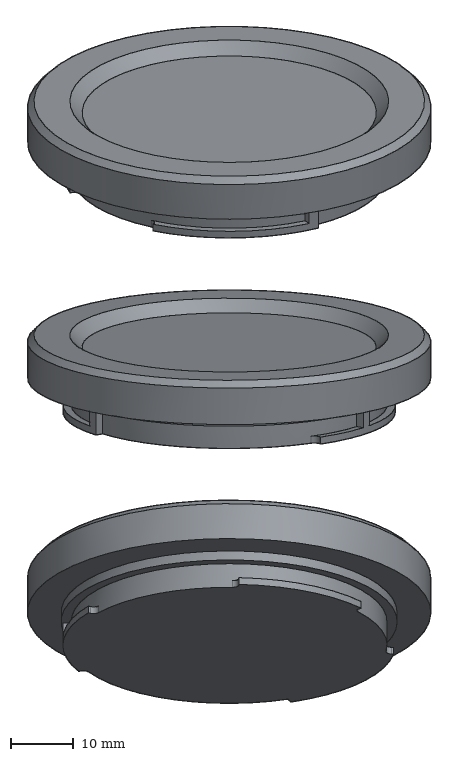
import cadquery as cq
import math

rim_diameter = 64.5
total_height = 12.65
rim_bottom = 5.6
rim_chamfer = 1.0

dish_top_diameter = 50.95
dish_floor_diameter = 47.0
dish_depth = 1.95

shoulder_diameter = 53.7
shoulder_bottom = 4.05
spigot_diameter = 50.5

tab_outer_radius = 26.6
tab_height = 1.15
foot_fillet = 0.95

tabs = [
    (48.4, 105.8, True),
    (167.0, 216.2, True),
    (261.9, 321.8, False),
]

stop_span = 3.8
stop_ends = [72.6, 321.8]

spigot_radius = spigot_diameter / 2
root_radius = spigot_radius - 0.65


def polar(radius, angle):
    return (radius * math.cos(math.radians(angle)), radius * math.sin(math.radians(angle)))


def disc(diameter, bottom, top):
    return cq.Workplane("XY").workplane(offset=bottom).circle(diameter / 2).extrude(top - bottom)


def ring_sector(start, end, height):
    """Sector with radial ends, from inside the spigot out to the tab radius."""
    middle = (start + end) / 2
    return (
        cq.Workplane("XY")
        .moveTo(*polar(root_radius, start))
        .lineTo(*polar(tab_outer_radius, start))
        .threePointArc(polar(tab_outer_radius, middle), polar(tab_outer_radius, end))
        .lineTo(*polar(root_radius, end))
        .threePointArc(polar(root_radius, middle), polar(root_radius, start))
        .close()
        .extrude(height)
    )


def foot_blend(angle, side):
    """Concave corner between a tab end and the spigot; side is +1 at an end, -1 at a start."""
    fillet_radius = spigot_radius + foot_fillet
    blend_span = side * math.degrees(foot_fillet / spigot_radius)
    to_middle = math.sqrt(0.5)
    middle_radius = fillet_radius - to_middle * foot_fillet
    middle_angle = angle + (1 - to_middle) * blend_span
    return (
        cq.Workplane("XY")
        .moveTo(*polar(root_radius, angle))
        .lineTo(*polar(fillet_radius, angle))
        .threePointArc(
            polar(middle_radius, middle_angle),
            polar(spigot_radius, angle + blend_span),
        )
        .lineTo(*polar(root_radius, angle + blend_span))
        .close()
        .extrude(tab_height)
    )


def dish():
    return (
        cq.Workplane("XY")
        .workplane(offset=total_height - dish_depth)
        .circle(dish_floor_diameter / 2)
        .workplane(offset=dish_depth)
        .circle(dish_top_diameter / 2)
        .loft(ruled=True)
    )


rim = disc(rim_diameter, rim_bottom, total_height).faces(">Z").edges().chamfer(rim_chamfer)
shoulder = disc(shoulder_diameter, shoulder_bottom, rim_bottom)
spigot = disc(spigot_diameter, 0, shoulder_bottom)

result = rim.union(shoulder).union(spigot).cut(dish())

for stop_end in stop_ends:
    result = result.union(ring_sector(stop_end - stop_span, stop_end, shoulder_bottom))

for start, end, end_is_blended in tabs:
    result = result.union(ring_sector(start, end, tab_height)).union(foot_blend(start, -1))
    if end_is_blended:
        result = result.union(foot_blend(end, 1))